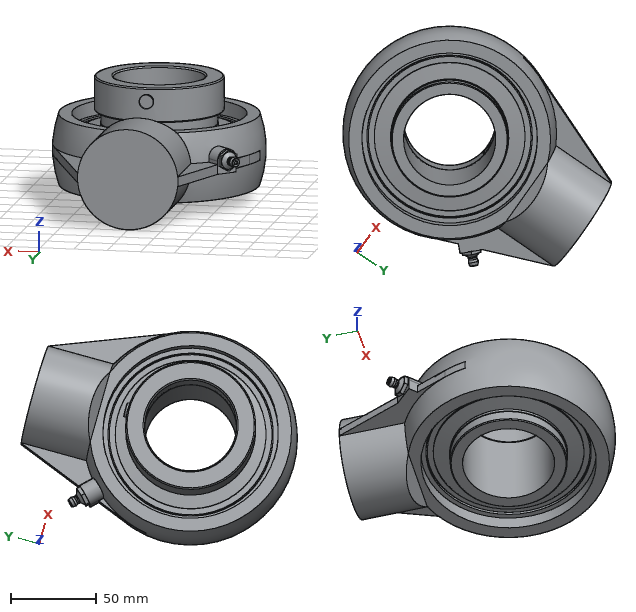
import cadquery as cq
import math

body_dia = 125.5
body_height = 42.0
shank_dia = 60.0
shank_end_y = 94.82
slope_angle = 30.0
web_thickness = 5.8
web_start_y = 9.7
seat_dia = 104.83
seat_height = 24.8
bore_dia = 102.83

nipple_angle = 135.0
nipple_z = 5.0
pad_width = 13.2
pad_end = 71.3
hex_across_flats = 11.0
hex_sides = 6
hex_length = 2.3
cone_length = 1.95
nipple_collar_end = 5.0
nipple_groove_end = 6.0
nipple_head_mid = 7.5
nipple_head_end = 9.4
nipple_tip_end = 9.9
nipple_cone_radius = 5.2
nipple_groove_radius = 2.3
nipple_neck_radius = 2.6
nipple_head_dia = 6.0
nipple_tip_radius = 2.3
nipple_hole_dia = 2.26
nipple_hole_depth = 1.0

shaft_dia = 53.98
inner_ring_neck_dia = 68.58
inner_ring_track_dia = 69.34
inner_ring_spigot_dia = 64.97
inner_ring_bottom_z = -22.2
inner_ring_top_z = 27.5
inner_ring_track_height = 30.6
inner_ring_bore_chamfer = 0.6
inner_ring_chamfer = 0.6
seal_rim_dia = 97.0
seal_rim_drop = 0.8
seal_rim_chamfer_width = 0.8
seal_rim_chamfer_height = 1.0
seal_dome_dia = 88.39
seal_dome_rise = 0.2
seal_dome_inner_rise = 1.1
seal_thickness = 2.0

collar_dia = 76.2
collar_bottom_z = 22.8
collar_top_z = 43.53
collar_chamfer = 0.8
collar_bore_chamfer = 0.9
screw_dia = 8.38
screw_z = 35.5
screw_inner_y = 29.6
screw_outer_y = 39.6

body_radius = body_dia / 2
half_height = body_height / 2
shank_radius = shank_dia / 2
shank_root_y = math.sqrt(body_radius**2 - shank_radius**2)
slope_rise_y = (shank_radius - half_height) * math.tan(math.radians(slope_angle))
seat_radius = seat_dia / 2
bore_radius = bore_dia / 2
ring_half_width = seat_height / 2


def disc(radius, z_from, z_to):
    return cq.Workplane("XY").workplane(offset=z_from).circle(radius).extrude(z_to - z_from)


def bore_edge(part):
    return part.faces(">Z").edges(cq.selectors.RadiusNthSelector(0))


def make_shank():
    shank = cq.Workplane("XZ").circle(shank_radius).extrude(-shank_end_y)
    wedge = (
        cq.Workplane("YZ")
        .moveTo(0, half_height)
        .lineTo(shank_root_y, half_height)
        .lineTo(shank_root_y + slope_rise_y, shank_radius)
        .lineTo(0, shank_radius)
        .close()
        .extrude(shank_radius, both=True)
    )
    return shank.cut(wedge).cut(wedge.mirror("XY"))


def make_web():
    corner_distance = math.hypot(shank_radius, shank_end_y)
    tangent_angle = math.atan2(shank_end_y, shank_radius) - math.acos(body_radius / corner_distance)
    tangent_x = body_radius * math.cos(tangent_angle)
    tangent_y = body_radius * math.sin(tangent_angle)
    start_x = math.sqrt(body_radius**2 - web_start_y**2)
    mid_angle = (tangent_angle + math.asin(web_start_y / body_radius)) / 2
    mid_x = body_radius * math.cos(mid_angle)
    mid_y = body_radius * math.sin(mid_angle)
    return (
        cq.Workplane("XY")
        .workplane(offset=-web_thickness / 2)
        .moveTo(start_x, web_start_y)
        .threePointArc((mid_x, mid_y), (tangent_x, tangent_y))
        .lineTo(shank_radius, shank_end_y)
        .lineTo(-shank_radius, shank_end_y)
        .lineTo(-tangent_x, tangent_y)
        .threePointArc((-mid_x, mid_y), (-start_x, web_start_y))
        .close()
        .extrude(web_thickness)
    )


def make_nipple_pad():
    half_width = pad_width / 2
    floor_z = -web_thickness / 2
    pad = (
        cq.Workplane("YZ")
        .moveTo(-half_width, floor_z)
        .lineTo(half_width, floor_z)
        .lineTo(half_width, nipple_z)
        .threePointArc((0, nipple_z + half_width), (-half_width, nipple_z))
        .close()
        .extrude(pad_end)
    )
    return pad.rotate((0, 0, 0), (0, 0, 1), nipple_angle)


def make_housing():
    body = cq.Workplane("XY").sphere(body_radius)
    body = body.intersect(disc(body_radius, -half_height, half_height))
    body = body.union(make_shank()).union(make_web()).union(make_nipple_pad())
    opening = disc(bore_radius, -shank_radius, shank_radius)
    seat = disc(seat_radius, -ring_half_width, ring_half_width)
    return body.cut(opening).cut(seat)


def make_outer_ring():
    ring = disc(seat_radius, -ring_half_width, ring_half_width)
    return ring.cut(disc(seal_rim_dia / 2, -ring_half_width, ring_half_width))


def make_top_seal():
    rim_radius = seal_rim_dia / 2
    inner_radius = inner_ring_track_dia / 2
    dome_radius = seal_dome_dia / 2
    rim_z = ring_half_width - seal_rim_drop
    bottom_z = rim_z - seal_thickness
    return (
        cq.Workplane("XZ")
        .moveTo(inner_radius, bottom_z)
        .lineTo(rim_radius, bottom_z)
        .lineTo(rim_radius, rim_z - seal_rim_chamfer_height)
        .lineTo(rim_radius - seal_rim_chamfer_width, rim_z)
        .lineTo(dome_radius, rim_z)
        .lineTo(dome_radius, ring_half_width + seal_dome_rise)
        .lineTo(inner_radius, ring_half_width + seal_dome_inner_rise)
        .close()
        .revolve(360, (0, 0, 0), (0, 1, 0))
    )


def make_inner_ring():
    neck = disc(inner_ring_neck_dia / 2, inner_ring_bottom_z, collar_bottom_z)
    neck = neck.faces("<Z").edges().chamfer(inner_ring_chamfer)
    track = disc(inner_ring_track_dia / 2, -inner_ring_track_height / 2, inner_ring_track_height / 2)
    spigot = disc(inner_ring_spigot_dia / 2, collar_bottom_z, inner_ring_top_z)
    ring = neck.union(track).union(spigot)
    ring = ring.cut(disc(shaft_dia / 2, inner_ring_bottom_z, inner_ring_top_z))
    return bore_edge(ring).chamfer(inner_ring_bore_chamfer)


def screw_cylinder(y_from, y_to):
    outline = cq.Workplane("XZ", origin=(0, y_from, screw_z)).circle(screw_dia / 2)
    return outline.extrude(y_from - y_to)


def make_screw():
    return screw_cylinder(screw_inner_y, screw_outer_y)


def make_collar():
    collar = disc(collar_dia / 2, collar_bottom_z, collar_top_z)
    collar = collar.edges().chamfer(collar_chamfer)
    collar = collar.cut(disc(shaft_dia / 2, collar_bottom_z, collar_top_z))
    collar = bore_edge(collar).chamfer(collar_bore_chamfer)
    collar = collar.cut(disc(inner_ring_spigot_dia / 2, collar_bottom_z, inner_ring_top_z))
    return collar.cut(screw_cylinder(0, collar_dia / 2))


def make_nipple():
    cone_end = hex_length + cone_length
    profile = (
        cq.Workplane("XY")
        .moveTo(hex_length, 0)
        .lineTo(hex_length, nipple_cone_radius)
        .lineTo(cone_end, nipple_neck_radius)
        .lineTo(nipple_collar_end, nipple_neck_radius)
        .lineTo(nipple_collar_end, nipple_groove_radius)
        .lineTo(nipple_groove_end, nipple_groove_radius)
        .lineTo(nipple_groove_end, nipple_neck_radius)
        .lineTo(nipple_head_mid, nipple_head_dia / 2)
        .lineTo(nipple_head_end, nipple_neck_radius)
        .lineTo(nipple_tip_end, nipple_tip_radius)
        .lineTo(nipple_tip_end, 0)
        .close()
    )
    nipple = profile.revolve(360, (0, 0, 0), (1, 0, 0))
    half_corner_angle = 180 / hex_sides
    across_corners = hex_across_flats / math.cos(math.radians(half_corner_angle))
    hexagon = cq.Workplane("YZ").polygon(hex_sides, across_corners).extrude(hex_length)
    nipple = nipple.union(hexagon.rotate((0, 0, 0), (1, 0, 0), half_corner_angle))
    hole = cq.Workplane("YZ").workplane(offset=nipple_tip_end - nipple_hole_depth)
    nipple = nipple.cut(hole.circle(nipple_hole_dia / 2).extrude(nipple_hole_depth))
    return nipple.translate((pad_end, 0, nipple_z)).rotate((0, 0, 0), (0, 0, 1), nipple_angle)


housing = make_housing()
outer_ring = make_outer_ring()
top_seal = make_top_seal()
bottom_seal = top_seal.mirror("XY")
inner_ring = make_inner_ring()
collar = make_collar()
screw = make_screw()
nipple = make_nipple()

result = cq.Compound.makeCompound(
    [
        housing.val(),
        outer_ring.val(),
        top_seal.val(),
        bottom_seal.val(),
        inner_ring.val(),
        collar.val(),
        screw.val(),
        nipple.val(),
    ]
)